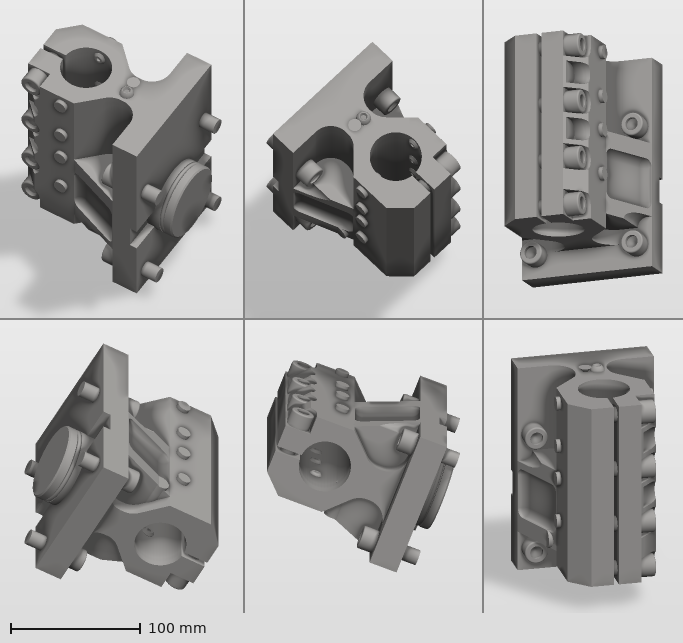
import cadquery as cq
import math


PLATE_FRONT_X = 97.9
PLATE_BACK_X = 120.0
PLATE_WIDTH = 108.0
PLATE_HEIGHT = 166.6

BODY_BOTTOM_Z = 20.0
BODY_HALF_WIDTH = 35.0
BODY_END_X = 51.0
BODY_CHAMFER = 15.0
BORE_X = 40.0
BORE_DIAMETER = 40.0
SPLIT_WIDTH = 4.1

WEB_HALF_WIDTH = 13.0
WEB_RADIUS = 16.0

RIB_HEIGHT = 66.2
RIB_RELIEF_Y = 42.3
RIB_RELIEF_DEPTH = 7.8
POCKET_LENGTH = 50.0
POCKET_HEIGHT = 39.7
POCKET_DEPTH = 7.0
POCKET_RADIUS = 6.0

BOSS_DIAMETER = 60.0
BOSS_END_X = 136.5
BOSS_CHAMFER = 1.2
BOSS_Z = 65.0
RING_GROOVE_START_X = 125.5
RING_GROOVE_WIDTH = 4.0
RING_GROOVE_DEPTH = 2.4
RING_RADIUS = 1.7
RING_X = 127.0
KEY_SLOT_HEIGHT = 20.0
KEY_SLOT_DEPTH = 6.1

HEAD_DIAMETER = 18.0
HEAD_LENGTH = 12.1
HEAD_EDGE = 1.2
SHANK_DIAMETER = 12.1
SOCKET_DIAMETER = 10.2
SOCKET_DEPTH = 3.4
SOCKET_CONE_DEPTH = 2.9
PLATE_SCREW_Y = 42.0
PLATE_SCREW_SPACING = 94.0
PLATE_SCREW_TIP_X = 133.0

SEAT_DIAMETER = 20.0
SEAT_X = SEAT_DIAMETER / 2
SEAT_Y = -(BODY_HALF_WIDTH - BODY_CHAMFER)
CLAMP_SCREW_PITCH = 45.0
CLAMP_SHANK_END_Y = 17.0
TOP_SCREW_Z = PLATE_HEIGHT - SEAT_DIAMETER / 2
BOTTOM_SCREW_Z = BODY_BOTTOM_Z + SEAT_DIAMETER / 2
CLAMP_SCREW_ZS = [TOP_SCREW_Z - i * CLAMP_SCREW_PITCH for i in range(3)] + [BOTTOM_SCREW_Z]
D_POCKET_RADIUS = 8.7
D_POCKET_Y = -21.8
D_POCKET_ZS = [TOP_SCREW_Z - (i + 0.5) * CLAMP_SCREW_PITCH for i in range(2)]

SET_SCREW_DIAMETER = 10.5
SET_SCREW_OUTER_Y = 38.4
SET_SCREW_TIP_Y = 17.7
SET_SCREW_TIP_CHAMFER = 1.9
SET_SCREW_SOCKET = 3.4
SET_SCREW_SOCKET_DEPTH = 1.7
SET_SCREW_ZS = [158.0, 122.8, 95.8, 60.9]

PLUG_X = 61.7
PLUG_Z = 38.2
PLUG_DIAMETER = 14.2
PLUG_OUTER_Y = 39.9

BUTTON_X = 80.0
BUTTON_Y = -4.6
BUTTON_DIAMETER = 11.5
BUTTON_TOP_DIAMETER = 6.8
BUTTON_HEIGHT = 4.0
BUTTON_BULGE = 0.3
BUTTON_SOCKET_TOP = 6.1
BUTTON_SOCKET_BOTTOM = 4.1
BUTTON_SOCKET_DEPTH = 2.0
CONE_Y = 5.0
CONE_TOP_DIAMETER = 10.0
CONE_BOTTOM_DIAMETER = 4.5
CONE_HEIGHT = 3.2

PLATE_HALF = PLATE_WIDTH / 2
BODY_HEIGHT = PLATE_HEIGHT - BODY_BOTTOM_Z
RIB_BOTTOM_Z = BOSS_Z - RIB_HEIGHT / 2
FLANK_ANGLE = math.degrees(math.atan2(PLATE_HALF - BODY_HALF_WIDTH, PLATE_FRONT_X - BODY_END_X))


def block(x0, x1, y0, y1, z0, z1):
    return cq.Workplane("XY").box(x1 - x0, y1 - y0, z1 - z0, centered=False).translate((x0, y0, z0))


def cylinder_x(diameter, x0, x1, y, z):
    return cq.Workplane("YZ", origin=(x0, y, z)).circle(diameter / 2).extrude(x1 - x0)


def cylinder_y(diameter, y0, y1, x, z):
    return cq.Workplane("XZ", origin=(x, y0, z)).circle(diameter / 2).extrude(y0 - y1)


def turned_to_far_flank(solid):
    """Half turn about the boss axis: puts a -Y flank feature on the +Y flank."""
    return solid.rotate((0, 0, BOSS_Z), (1, 0, BOSS_Z), 180)


def make_body():
    """Clamp, web and the two concave flanks between clamp and plate."""
    drop = WEB_RADIUS * (1 - math.cos(math.pi / 4))
    reach = WEB_RADIUS * math.sin(math.pi / 4)
    tangent_y = WEB_HALF_WIDTH + drop
    tangent_x = BODY_END_X + BODY_HALF_WIDTH - tangent_y
    flat_start_x = tangent_x + reach
    flat_end_x = PLATE_FRONT_X - WEB_RADIUS
    arc_end_y = WEB_HALF_WIDTH + WEB_RADIUS
    mid_angle = math.pi / 8
    first_mid = (flat_start_x - WEB_RADIUS * math.sin(mid_angle),
                 arc_end_y - WEB_RADIUS * math.cos(mid_angle))
    second_mid = (flat_end_x + reach, tangent_y)
    half = (
        cq.Workplane("XY", origin=(0, 0, BODY_BOTTOM_Z))
        .moveTo(0, 0)
        .lineTo(0, BODY_HALF_WIDTH - BODY_CHAMFER)
        .lineTo(BODY_CHAMFER, BODY_HALF_WIDTH)
        .lineTo(BODY_END_X, BODY_HALF_WIDTH)
        .lineTo(tangent_x, tangent_y)
        .threePointArc(first_mid, (flat_start_x, WEB_HALF_WIDTH))
        .lineTo(flat_end_x, WEB_HALF_WIDTH)
        .threePointArc(second_mid, (PLATE_FRONT_X, arc_end_y))
        .lineTo(PLATE_BACK_X, arc_end_y)
        .lineTo(PLATE_BACK_X, 0)
        .close()
        .extrude(BODY_HEIGHT)
    )
    plate = block(PLATE_FRONT_X, PLATE_BACK_X, -PLATE_HALF, PLATE_HALF, 0, PLATE_HEIGHT)
    return half.union(half.mirror("XZ")).union(plate)


def make_rib():
    """Rib on the -Y flank, relieved along its lower outer edge."""
    rib = (
        cq.Workplane("XY", origin=(0, 0, RIB_BOTTOM_Z))
        .polyline([
            (BODY_END_X, 0),
            (BODY_END_X, -BODY_HALF_WIDTH),
            (PLATE_FRONT_X, -PLATE_HALF),
            (PLATE_FRONT_X, 0),
        ])
        .close()
        .extrude(RIB_HEIGHT)
    )
    relief_top_z = RIB_BOTTOM_Z + RIB_RELIEF_DEPTH
    relief = block(BODY_END_X, PLATE_FRONT_X, -PLATE_HALF, -RIB_RELIEF_Y,
                   RIB_BOTTOM_Z - RIB_RELIEF_DEPTH, relief_top_z)
    inner_top_edge = cq.selectors.NearestToPointSelector(
        ((BODY_END_X + PLATE_FRONT_X) / 2, -RIB_RELIEF_Y, relief_top_z))
    return rib.cut(relief.edges(inner_top_edge).fillet(RIB_RELIEF_DEPTH))


def make_rib_pocket():
    """Ball-cornered pocket, sunk square to the sloping -Y flank."""
    flank_middle = ((BODY_END_X + PLATE_FRONT_X) / 2, -(BODY_HALF_WIDTH + PLATE_HALF) / 2, BOSS_Z)
    overshoot = 2 * POCKET_RADIUS
    pocket = (
        cq.Workplane("XY")
        .box(POCKET_LENGTH, POCKET_DEPTH + overshoot, POCKET_HEIGHT)
        .translate((0, (POCKET_DEPTH - overshoot) / 2, 0))
        .edges("|Y or >Y")
        .fillet(POCKET_RADIUS)
    )
    return pocket.rotate((0, 0, 0), (0, 0, 1), -FLANK_ANGLE).translate(flank_middle)


def make_boss():
    """Locating boss with a seal ring lying in its groove."""
    boss = cylinder_x(BOSS_DIAMETER, PLATE_FRONT_X, BOSS_END_X, 0, BOSS_Z).faces(">X").chamfer(BOSS_CHAMFER)
    groove_end_x = RING_GROOVE_START_X + RING_GROOVE_WIDTH
    groove = cylinder_x(BOSS_DIAMETER, RING_GROOVE_START_X, groove_end_x, 0, BOSS_Z).cut(
        cylinder_x(BOSS_DIAMETER - 2 * RING_GROOVE_DEPTH, RING_GROOVE_START_X, groove_end_x, 0, BOSS_Z))
    ring = cq.Workplane("XY").add(cq.Solid.makeTorus(
        BOSS_DIAMETER / 2 - RING_RADIUS, RING_RADIUS,
        cq.Vector(RING_X, 0, BOSS_Z), cq.Vector(1, 0, 0)))
    return boss.cut(groove).union(ring)


def make_key_slot():
    return block(PLATE_BACK_X - KEY_SLOT_DEPTH, PLATE_BACK_X, -PLATE_HALF, PLATE_HALF,
                 BOSS_Z - KEY_SLOT_HEIGHT / 2, BOSS_Z + KEY_SLOT_HEIGHT / 2)


def make_cap_screw(shank_length):
    """Screw with a cone-bottomed round socket; head above Z = 0, shank below."""
    head = cq.Workplane("XY").circle(HEAD_DIAMETER / 2).extrude(HEAD_LENGTH).faces(">Z").edges().fillet(HEAD_EDGE)
    socket_floor_z = HEAD_LENGTH - SOCKET_DEPTH
    socket = (
        cq.Workplane("XZ")
        .polyline([
            (0, HEAD_LENGTH),
            (SOCKET_DIAMETER / 2, HEAD_LENGTH),
            (SOCKET_DIAMETER / 2, socket_floor_z),
            (0, socket_floor_z - SOCKET_CONE_DEPTH),
        ])
        .close()
        .revolve(360, (0, 0), (0, 1))
    )
    shank = cq.Workplane("XY").circle(SHANK_DIAMETER / 2).extrude(-shank_length)
    return head.cut(socket).union(shank)


def make_plate_screws():
    screw = make_cap_screw(PLATE_SCREW_TIP_X - PLATE_FRONT_X).rotate((0, 0, 0), (0, 1, 0), -90)
    screws = cq.Workplane("XY")
    for y in (-PLATE_SCREW_Y, PLATE_SCREW_Y):
        for z in (BOSS_Z - PLATE_SCREW_SPACING / 2, BOSS_Z + PLATE_SCREW_SPACING / 2):
            screws = screws.add(screw.translate((PLATE_FRONT_X, y, z)))
    return screws


def make_clamp_screws():
    screw = make_cap_screw(CLAMP_SHANK_END_Y - SEAT_Y).rotate((0, 0, 0), (1, 0, 0), 90)
    screws = cq.Workplane("XY")
    for z in CLAMP_SCREW_ZS:
        screws = screws.add(screw.translate((SEAT_X, SEAT_Y, z)))
    return screws


def make_edge_slot(radius, floor_y, z):
    """Round-ended slot from the split face's edge, open towards -Y."""
    round_end = cylinder_y(2 * radius, -BODY_HALF_WIDTH, floor_y, SEAT_X, z)
    return round_end.union(block(0, SEAT_X, -BODY_HALF_WIDTH, floor_y, z - radius, z + radius))


def make_seats():
    """Screw seats, squared off at both body ends, and the pockets between them."""
    seats = block(0, SEAT_DIAMETER, -BODY_HALF_WIDTH, SEAT_Y, TOP_SCREW_Z, PLATE_HEIGHT)
    seats = seats.union(block(0, SEAT_DIAMETER, -BODY_HALF_WIDTH, SEAT_Y, BODY_BOTTOM_Z, BOTTOM_SCREW_Z))
    for z in CLAMP_SCREW_ZS:
        seats = seats.union(make_edge_slot(SEAT_DIAMETER / 2, SEAT_Y, z))
    for z in D_POCKET_ZS:
        seats = seats.union(make_edge_slot(D_POCKET_RADIUS, D_POCKET_Y, z))
    return seats


def make_set_screws():
    """Opposed set screws on both sides of the bore, with socketed tips."""
    screw = (
        cylinder_y(SET_SCREW_DIAMETER, -SET_SCREW_OUTER_Y, -SET_SCREW_TIP_Y, BORE_X, 0)
        .faces(">Y")
        .chamfer(SET_SCREW_TIP_CHAMFER)
    )
    socket_start_y = -SET_SCREW_TIP_Y - SET_SCREW_SOCKET_DEPTH
    screw = screw.cut(cylinder_y(SET_SCREW_SOCKET, socket_start_y, -SET_SCREW_TIP_Y, BORE_X, 0))
    screws = cq.Workplane("XY")
    for z in SET_SCREW_ZS:
        screws = screws.add(screw.translate((0, 0, z))).add(screw.mirror("XZ").translate((0, 0, z)))
    return screws


def make_button_screw():
    dome_radius = BUTTON_DIAMETER / 2
    flat_radius = BUTTON_TOP_DIAMETER / 2
    bulge = ((dome_radius + flat_radius) / 2 + BUTTON_BULGE, BUTTON_HEIGHT / 2 + BUTTON_BULGE)
    head = (
        cq.Workplane("XZ")
        .lineTo(dome_radius, 0)
        .threePointArc(bulge, (flat_radius, BUTTON_HEIGHT))
        .lineTo(0, BUTTON_HEIGHT)
        .close()
        .revolve(360, (0, 0), (0, 1))
    )
    socket = cq.Solid.makeCone(
        BUTTON_SOCKET_BOTTOM / 2, BUTTON_SOCKET_TOP / 2, BUTTON_SOCKET_DEPTH,
        cq.Vector(0, 0, BUTTON_HEIGHT - BUTTON_SOCKET_DEPTH))
    return head.cut(cq.Workplane("XY").add(socket)).translate((BUTTON_X, BUTTON_Y, PLATE_HEIGHT))


def make_cone_plug():
    cone = cq.Solid.makeCone(CONE_BOTTOM_DIAMETER / 2, CONE_TOP_DIAMETER / 2, CONE_HEIGHT)
    return cq.Workplane("XY").add(cone).translate((BUTTON_X, CONE_Y, PLATE_HEIGHT))


def join_all(base, parts):
    for part in parts.vals():
        base = base.union(cq.Workplane("XY").add(part))
    return base


rib = make_rib()
rib_pocket = make_rib_pocket()
bore = cq.Workplane("XY").circle(BORE_DIAMETER / 2).extrude(PLATE_HEIGHT).translate((BORE_X, 0, 0))
split = block(0, BORE_X, -SPLIT_WIDTH / 2, SPLIT_WIDTH / 2, 0, PLATE_HEIGHT)

result = make_body().union(rib).union(turned_to_far_flank(rib))
result = result.cut(rib_pocket).cut(turned_to_far_flank(rib_pocket))
result = result.cut(bore).cut(split).cut(make_seats()).cut(make_key_slot())
result = result.union(make_boss())
result = result.union(cylinder_y(PLUG_DIAMETER, WEB_HALF_WIDTH, PLUG_OUTER_Y, PLUG_X, PLUG_Z))
result = join_all(result, make_plate_screws())
result = join_all(result, make_clamp_screws())
result = join_all(result, make_set_screws())
result = result.union(make_button_screw()).union(make_cone_plug())